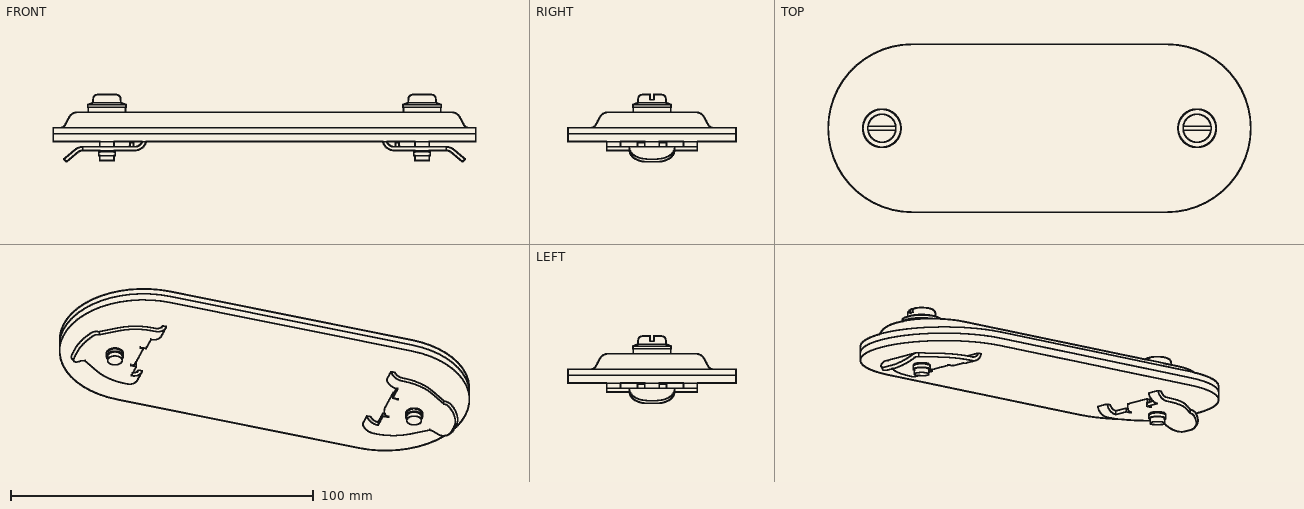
import cadquery as cq
import math

cover_length = 139.7
cover_width = 55.56
screw_spacing = 104.14

gasket_thickness = 2.54
flange_thickness = 2.1
dome_height = 5.13
dome_draft = 28.0
dome_length = 134.6
dome_width = 40.0
dome_top_radius = 3.3
dome_foot_radius = 1.5
boss_diameter = 12.45
boss_height = 1.55

shank_diameter = 4.83
shank_tip_z = -6.3
washer_diameter = 12.7
washer_rim_thickness = 0.9
washer_cone_rise = 0.65
head_diameter = 9.27
head_top_z = 15.57
head_round = 1.55
slot_width = 1.27
slot_depth = 1.7
retainer_diameter = 5.56
retainer_thickness = 1.27
retainer_gap = 0.4

clip_thickness = 1.27
clip_top_z = -1.69
clip_half_width = 15.0
clip_edge_radius = 18.3
clip_edge_angle = 36.6
clip_edge_start_x = 8.3
wing_half_width = 7.45
wing_angle = 40.0
wing_inner_radius = 2.73
wing_straight = 4.87
wing_corner_radius = 5.9
hook_start_x = 9.15
hook_inner_radius = 2.73
hook_width = 4.65
tab_start_x = 7.2
tab_inner_radius = 0.4
tab_half_width = 4.85
tab_tip_z = -0.3
notch_clearance = 0.3

select_margin = 0.01

flange_z = gasket_thickness + flange_thickness
dome_top_z = flange_z + dome_height
boss_top_z = dome_top_z + boss_height
washer_top_z = boss_top_z + washer_rim_thickness + washer_cone_rise
clip_bottom_z = clip_top_z - clip_thickness
retainer_top_z = clip_bottom_z - retainer_gap
screw_x = screw_spacing / 2
screw_points = [(-screw_x, 0), (screw_x, 0)]


def make_disc(diameter, bottom_z, top_z):
    """Cylinder on the Z axis between two heights."""
    return cq.Workplane("XY").workplane(offset=bottom_z).circle(diameter / 2).extrude(top_z - bottom_z)


def drill_for_screws(body):
    """Cut a hole that fits the shank at both screw positions."""
    shank_span = head_top_z - shank_tip_z
    holes = (
        cq.Workplane("XY").workplane(offset=shank_tip_z)
        .pushPoints(screw_points).circle(shank_diameter / 2).extrude(shank_span)
    )
    return body.cut(holes)


def make_gasket():
    plate = cq.Workplane("XY").slot2D(cover_length, cover_width).extrude(gasket_thickness)
    return drill_for_screws(plate)


def make_cover():
    flange = (
        cq.Workplane("XY").workplane(offset=gasket_thickness)
        .slot2D(cover_length, cover_width).extrude(flange_thickness)
    )
    foot_spread = dome_foot_radius * math.tan(math.radians(90 - dome_draft) / 2)
    dome = (
        cq.Workplane("XY").workplane(offset=flange_z)
        .slot2D(dome_length - 2 * foot_spread, dome_width - 2 * foot_spread)
        .extrude(dome_height, taper=dome_draft)
        .faces(">Z").edges().fillet(dome_top_radius)
    )
    cover = flange.union(dome)
    half_x, half_y = dome_length / 2, dome_width / 2
    foot_box = cq.selectors.BoxSelector(
        (-half_x, -half_y, flange_z - select_margin),
        (half_x, half_y, flange_z + select_margin),
        boundingbox=True,
    )
    cover = cover.edges(foot_box).fillet(dome_foot_radius)
    bosses = (
        cq.Workplane("XY").workplane(offset=dome_top_z)
        .pushPoints(screw_points).circle(boss_diameter / 2).extrude(boss_height)
    )
    return drill_for_screws(cover.union(bosses))


def make_screw():
    head = make_disc(head_diameter, washer_top_z, head_top_z)
    head = head.faces(">Z").edges().fillet(head_round)
    slot = (
        cq.Workplane("XY").workplane(offset=head_top_z - slot_depth)
        .rect(2 * head_diameter, slot_width).extrude(slot_depth)
    )
    shank = make_disc(shank_diameter, shank_tip_z, washer_top_z)
    return head.cut(slot).union(shank)


def make_ring(diameter, bottom_z, top_z):
    """Ring that fits around the screw shank."""
    return make_disc(diameter, bottom_z, top_z).cut(make_disc(shank_diameter, bottom_z, top_z))


def make_washer():
    """Ring whose top rises as a shallow cone from its rim to the screw head."""
    cone_width = (washer_diameter - head_diameter) / 2
    washer = make_ring(washer_diameter, boss_top_z, washer_top_z)
    rim = washer.faces(">Z").edges(cq.selectors.RadiusNthSelector(-1))
    return rim.chamfer(washer_cone_rise, cone_width)


def make_retainer():
    return make_ring(retainer_diameter, retainer_top_z - retainer_thickness, retainer_top_z)


def make_clip_plate():
    """Flat plate with arched shoulders that run straight into the wing."""
    angle = math.radians(clip_edge_angle)
    centre_y = clip_half_width - clip_edge_radius

    def edge_point(turn):
        x = clip_edge_start_x - clip_edge_radius * math.sin(turn)
        return x, centre_y + clip_edge_radius * math.cos(turn)

    shoulder = edge_point(angle)
    wing_x = shoulder[0] - (shoulder[1] - wing_half_width) / math.tan(angle)
    half = (
        cq.Workplane("XY").workplane(offset=clip_bottom_z)
        .moveTo(hook_start_x, 0)
        .lineTo(hook_start_x, clip_half_width)
        .lineTo(clip_edge_start_x, clip_half_width)
        .threePointArc(edge_point(angle / 2), shoulder)
        .lineTo(wing_x, wing_half_width)
        .lineTo(wing_x, 0)
        .close().extrude(clip_thickness)
    )
    return half.union(half.mirror("XZ")), wing_x


def make_wing(start_x):
    """Tongue bent downward from the plate, with rounded tip corners."""
    angle = math.radians(wing_angle)
    sin, cos = math.sin(angle), math.cos(angle)
    outer_radius = wing_inner_radius + clip_thickness
    centre_z = clip_top_z - outer_radius

    def bend_point(radius, turn):
        return start_x - radius * math.sin(turn), centre_z + radius * math.cos(turn)

    top_bend = bend_point(outer_radius, angle)
    low_bend = bend_point(wing_inner_radius, angle)
    run = (-wing_straight * cos, -wing_straight * sin)
    wing = (
        cq.Workplane("XZ")
        .moveTo(start_x, clip_top_z)
        .threePointArc(bend_point(outer_radius, angle / 2), top_bend)
        .line(*run)
        .lineTo(low_bend[0] + run[0], low_bend[1] + run[1])
        .lineTo(*low_bend)
        .threePointArc(bend_point(wing_inner_radius, angle / 2), (start_x, clip_bottom_z))
        .close().extrude(wing_half_width, both=True)
    )
    blank_length = 3 * wing_straight
    blank = (
        cq.Workplane("XY")
        .box(blank_length, 2 * wing_half_width, blank_length, centered=(False, True, True))
        .edges("|Z and <X").fillet(wing_corner_radius)
        .rotate((0, 0, 0), (0, 1, 0), -wing_angle)
        .translate((top_bend[0] + run[0], 0, top_bend[1] + run[1]))
    )
    return wing.intersect(blank)


def make_upturn(start_x, inner_radius, tip_z, y_low, y_high):
    """Strip that curls upward from the plate and ends level at tip_z."""
    outer_radius = inner_radius + clip_thickness
    centre_z = clip_bottom_z + outer_radius
    width = y_high - y_low
    end_x = start_x + outer_radius
    upright_z = max(tip_z, centre_z)
    mid_bend = math.sin(math.radians(45))
    strip = (
        cq.Workplane("XZ", origin=(0, y_high, 0))
        .moveTo(start_x, clip_bottom_z)
        .threePointArc(
            (start_x + outer_radius * mid_bend, centre_z - outer_radius * mid_bend), (end_x, centre_z)
        )
        .lineTo(end_x, upright_z + clip_thickness)
        .lineTo(end_x - clip_thickness, upright_z + clip_thickness)
        .lineTo(end_x - clip_thickness, centre_z)
        .threePointArc(
            (start_x + inner_radius * mid_bend, centre_z - inner_radius * mid_bend), (start_x, clip_top_z)
        )
        .close().extrude(width)
    )
    keep = cq.Workplane("XY").box(
        outer_radius, width, tip_z - clip_bottom_z, centered=False
    ).translate((start_x, y_low, clip_bottom_z))
    return strip.intersect(keep)


def make_clip():
    clip, wing_x = make_clip_plate()
    notch_half = tab_half_width + notch_clearance
    notch = cq.Workplane("XY").box(
        hook_start_x - tab_start_x, 2 * notch_half, clip_thickness, centered=False
    ).translate((tab_start_x, -notch_half, clip_bottom_z))
    clip = clip.cut(notch).union(make_wing(wing_x))
    inner_y = clip_half_width - hook_width
    clip = clip.union(make_upturn(hook_start_x, hook_inner_radius, 0, inner_y, clip_half_width))
    clip = clip.union(make_upturn(hook_start_x, hook_inner_radius, 0, -clip_half_width, -inner_y))
    clip = clip.union(make_upturn(tab_start_x, tab_inner_radius, tab_tip_z, -tab_half_width, tab_half_width))
    return clip.cut(make_disc(shank_diameter, clip_bottom_z, clip_top_z))


bodies = [make_gasket().val(), make_cover().val()]
for turn in (0, 180):
    for make_body in (make_screw, make_washer, make_retainer, make_clip):
        placed = make_body().translate((-screw_x, 0, 0)).rotate((0, 0, 0), (0, 0, 1), turn)
        bodies.append(placed.val())

result = cq.Compound.makeCompound(bodies)